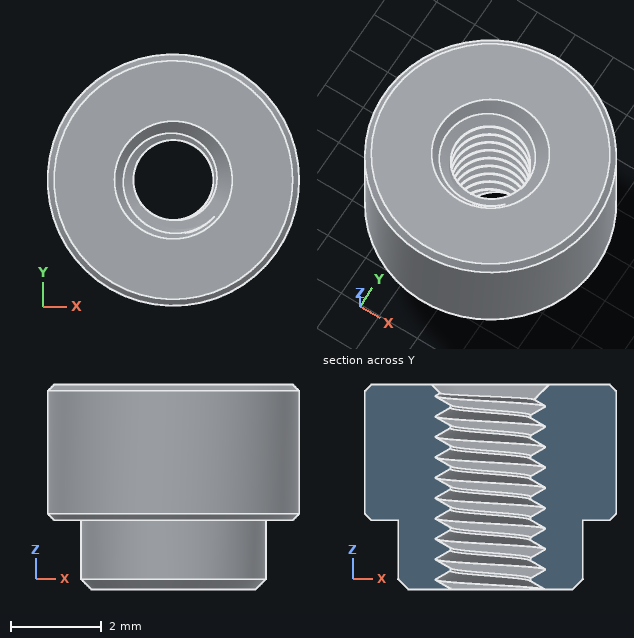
import cadquery as cq
import math

head_diameter = 5.56
spigot_diameter = 4.09
total_height = 4.53
spigot_height = 1.53
head_chamfer = 0.145
spigot_chamfer = 0.235

bore_diameter = 1.76
thread_root_diameter = 2.425
thread_root_flat = 0.005
thread_pitch = 0.45
thread_half_angle = math.radians(30)
first_groove_depth = 0.035
bore_overlap = 0.015
turns_below_base = 1

countersink_diameter = 2.6
countersink_half_angle = math.radians(45)

bore_seam_angle = 130

cut_clearance = 0.055


def make_body():
    spigot = (
        cq.Workplane("XY")
        .circle(spigot_diameter / 2)
        .extrude(spigot_height)
        .faces("<Z")
        .chamfer(spigot_chamfer)
    )
    head = (
        cq.Workplane("XY", origin=(0, 0, spigot_height))
        .circle(head_diameter / 2)
        .extrude(total_height - spigot_height)
        .edges()
        .chamfer(head_chamfer)
    )
    return spigot.union(head)


def turn_seam(cutter):
    return cutter.rotate((0, 0, 0), (0, 0, 1), bore_seam_angle)


def make_bore():
    bore = (
        cq.Workplane("XY", origin=(0, 0, -cut_clearance))
        .circle(bore_diameter / 2)
        .extrude(total_height + 2 * cut_clearance)
    )
    return turn_seam(bore)


def make_countersink():
    rim_z = total_height + cut_clearance
    rim_radius = countersink_diameter / 2 + cut_clearance * math.tan(countersink_half_angle)
    tip_z = rim_z - rim_radius / math.tan(countersink_half_angle)
    half_section = [(0, tip_z), (rim_radius, rim_z), (0, rim_z)]
    return turn_seam(cq.Workplane("XZ").polyline(half_section).close().revolve())


def make_thread_groove():
    root_radius = thread_root_diameter / 2
    inner_radius = bore_diameter / 2 - bore_overlap
    half_flat = thread_root_flat / 2
    half_opening = half_flat + (root_radius - inner_radius) * math.tan(thread_half_angle)

    first_groove_z = total_height - first_groove_depth
    turns_to_base = math.ceil(first_groove_z / thread_pitch) + turns_below_base
    start_z = first_groove_z - turns_to_base * thread_pitch
    groove_length = (turns_to_base + 1) * thread_pitch

    path = cq.Wire.makeHelix(thread_pitch, groove_length, root_radius, center=cq.Vector(0, 0, start_z))
    profile = [
        (inner_radius, start_z - half_opening),
        (root_radius, start_z - half_flat),
        (root_radius, start_z + half_flat),
        (inner_radius, start_z + half_opening),
    ]
    return cq.Workplane("XZ").polyline(profile).close().sweep(cq.Workplane(obj=path), isFrenet=True)


result = (
    make_body()
    .cut(make_thread_groove())
    .cut(make_bore())
    .cut(make_countersink())
)